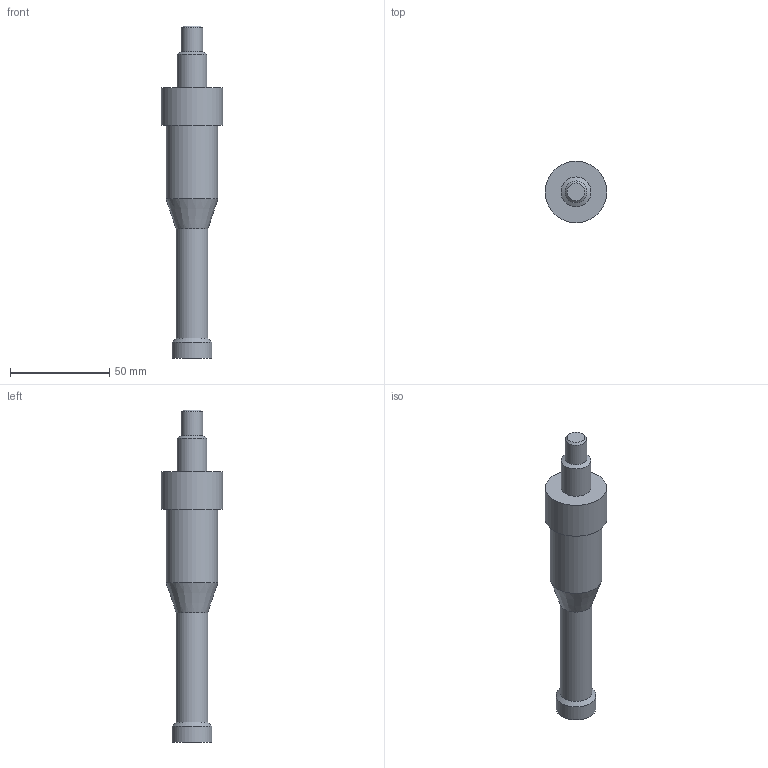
import cadquery as cq
import math

foot_diameter = 20.0
stem_diameter = 16.0
body_diameter = 26.0
flange_diameter = 31.0
shoulder_diameter = 15.0
pin_diameter = 11.0

foot_length = 10.0
stem_length = 55.0
taper_length = 15.0
body_length = 37.0
flange_length = 19.0
shoulder_length = 18.0
pin_length = 13.0

foot_chamfer_height = (foot_diameter - stem_diameter) / 2
shoulder_chamfer_angle = 30.0
shoulder_chamfer_width = (shoulder_diameter - pin_diameter) / 2
shoulder_chamfer_height = shoulder_chamfer_width * math.tan(math.radians(shoulder_chamfer_angle))
pin_chamfer_height = 1.0

foot_top_diameter = stem_diameter
shoulder_top_diameter = pin_diameter
pin_top_diameter = pin_diameter - 2 * pin_chamfer_height

stem_base = foot_length
taper_base = stem_base + stem_length
body_base = taper_base + taper_length
flange_base = body_base + body_length
shoulder_base = flange_base + flange_length
pin_base = shoulder_base + shoulder_length


def cone_frustum(base_height, length, bottom_diameter, top_diameter):
    """Solid of revolution about Z with straight, possibly sloped, sides."""
    half_section = [
        (0, base_height),
        (bottom_diameter / 2, base_height),
        (top_diameter / 2, base_height + length),
        (0, base_height + length),
    ]
    return cq.Workplane("XZ").polyline(half_section).close().revolve(360, (0, 0), (0, 1))


def cylinder(base_height, length, diameter):
    """Upright cylinder about Z."""
    return cone_frustum(base_height, length, diameter, diameter)


def chamfered_cylinder(base_height, length, diameter, chamfer_height, top_diameter):
    """Upright cylinder about Z with a chamfer around its top edge."""
    straight_length = length - chamfer_height
    straight_part = cylinder(base_height, straight_length, diameter)
    chamfer_base = base_height + straight_length
    return straight_part.union(cone_frustum(chamfer_base, chamfer_height, diameter, top_diameter))


foot = chamfered_cylinder(0, foot_length, foot_diameter, foot_chamfer_height, foot_top_diameter)
stem = cylinder(stem_base, stem_length, stem_diameter)
taper = cone_frustum(taper_base, taper_length, stem_diameter, body_diameter)
body = cylinder(body_base, body_length, body_diameter)
flange = cylinder(flange_base, flange_length, flange_diameter)
shoulder = chamfered_cylinder(
    shoulder_base, shoulder_length, shoulder_diameter, shoulder_chamfer_height, shoulder_top_diameter
)
pin = chamfered_cylinder(pin_base, pin_length, pin_diameter, pin_chamfer_height, pin_top_diameter)

result = foot
for section in (stem, taper, body, flange, shoulder, pin):
    result = result.union(section)